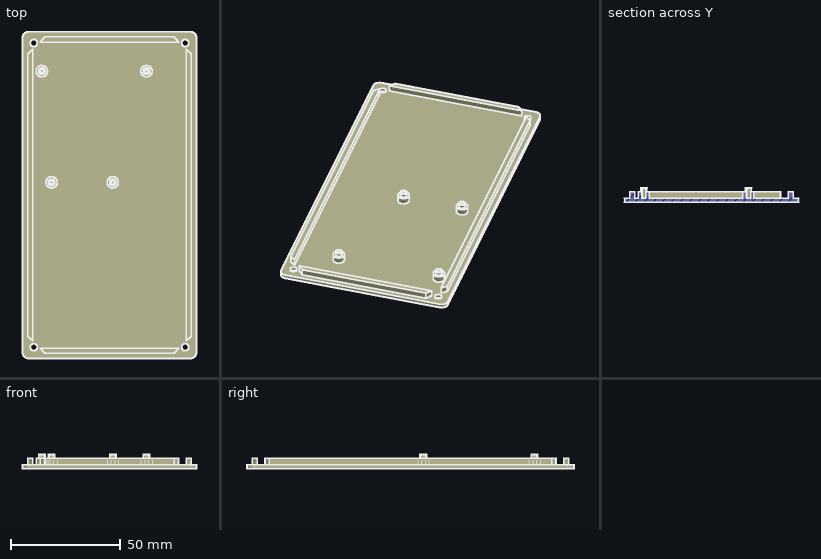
import cadquery as cq

length = 150.0
width = 80.0
plate_thickness = 2.0
corner_radius = 3.0

hole_diameter = 3.2
hole_inset = 5.2

rib_inset = 2.4
rib_thickness = 2.4
rib_height = 3.0
rib_end_bevel = 2.1
end_rib_length = 63.5
side_rib_length = 133.6

total_height = 6.6
standoff_diameter = 5.2
standoff_height = rib_height
peg_diameter = 3.0
bore_diameter = 1.6
standoff_points = [(-31.0, 56.8), (17.0, 56.8), (-26.5, 5.8), (1.5, 5.8)]


def make_plate():
    """Rounded plate with its underside at Z = 0 and a hole in each corner."""
    plate = cq.Workplane("XY").box(width, length, plate_thickness, centered=(True, True, False))
    plate = plate.edges("|Z").fillet(corner_radius)
    hole_span_x = width - 2 * hole_inset
    hole_span_y = length - 2 * hole_inset
    hole_frame = plate.faces(">Z").workplane().rect(hole_span_x, hole_span_y, forConstruction=True)
    return hole_frame.vertices().hole(hole_diameter)


def make_rib(rib_length, plate_span, angle):
    """Rib beside one plate edge, its outer corners bevelled, turned about Z into place."""
    outer = plate_span / 2 - rib_inset
    inner = outer - rib_thickness
    inner_half = rib_length / 2
    outer_half = inner_half - rib_end_bevel
    outline = [(-inner_half, inner), (inner_half, inner), (outer_half, outer), (-outer_half, outer)]
    rib = cq.Workplane("XY").workplane(offset=plate_thickness).polyline(outline).close().extrude(rib_height)
    return rib.rotate((0, 0, 0), (0, 0, 1), angle)


def make_standoffs():
    """Standoffs and pegs, bored down to the top of the plate."""
    top = cq.Workplane("XY").workplane(offset=plate_thickness).pushPoints(standoff_points)
    height = total_height - plate_thickness
    standoffs = top.circle(standoff_diameter / 2).extrude(standoff_height)
    pegs = top.circle(peg_diameter / 2).extrude(height)
    bores = top.circle(bore_diameter / 2).extrude(height)
    return standoffs.union(pegs).cut(bores)


result = make_plate()
for turn in (0, 180):
    result = result.union(make_rib(end_rib_length, length, turn))
    result = result.union(make_rib(side_rib_length, width, turn + 90))
result = result.union(make_standoffs())